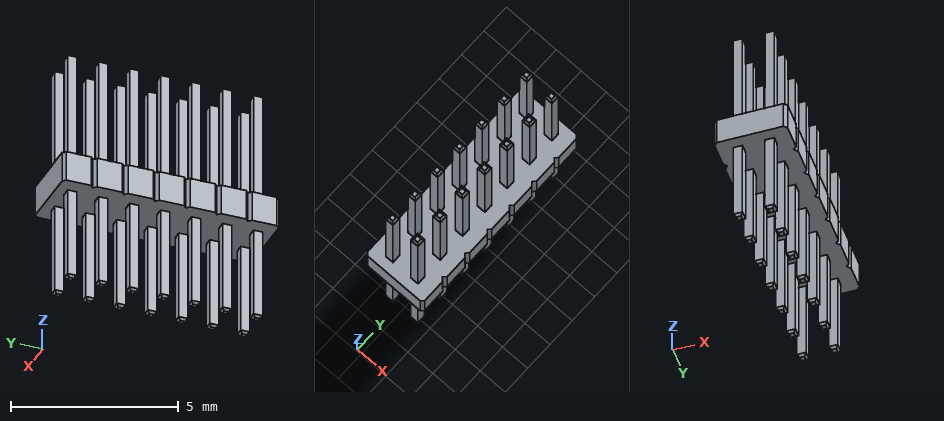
import cadquery as cq

rows = 7
columns = 2
body_width = 2.3
body_length = 7.0
pitch = body_length / rows
body_height = pitch
corner_cut = 0.1

pin_width = 0.3
pin_tip_width = 0.15
pin_tip_height = 0.08
pin_length = 7.8
pin_below_body = 3.0


def make_segment(center_y):
    """One row of the housing: a block with all four upright corners chamfered."""
    return (
        cq.Workplane("XY")
        .box(body_width, pitch, body_height, centered=(True, True, False))
        .edges("|Z")
        .chamfer(corner_cut)
        .translate((0, center_y, 0))
    )


def make_tip():
    """Pyramid frustum that narrows upwards from the full pin section."""
    return (
        cq.Workplane("XY")
        .rect(pin_width, pin_width)
        .workplane(offset=pin_tip_height)
        .rect(pin_tip_width, pin_tip_width)
        .loft(ruled=True)
    )


def make_pin(center_x, center_y):
    """Square pin through the housing, tapered at both ends."""
    shank_length = pin_length - 2 * pin_tip_height
    shank = cq.Workplane("XY").box(pin_width, pin_width, shank_length)
    top_tip = make_tip().translate((0, 0, shank_length / 2))
    bottom_tip = top_tip.mirror("XY")
    pin_center_z = pin_length / 2 - pin_below_body
    return shank.union(top_tip).union(bottom_tip).translate((center_x, center_y, pin_center_z))


row_positions = [(row - (rows - 1) / 2) * pitch for row in range(rows)]
column_positions = [(column - (columns - 1) / 2) * pitch for column in range(columns)]

result = make_segment(row_positions[0])
for y in row_positions[1:]:
    result = result.union(make_segment(y))

for x in column_positions:
    for y in row_positions:
        result = result.union(make_pin(x, y))